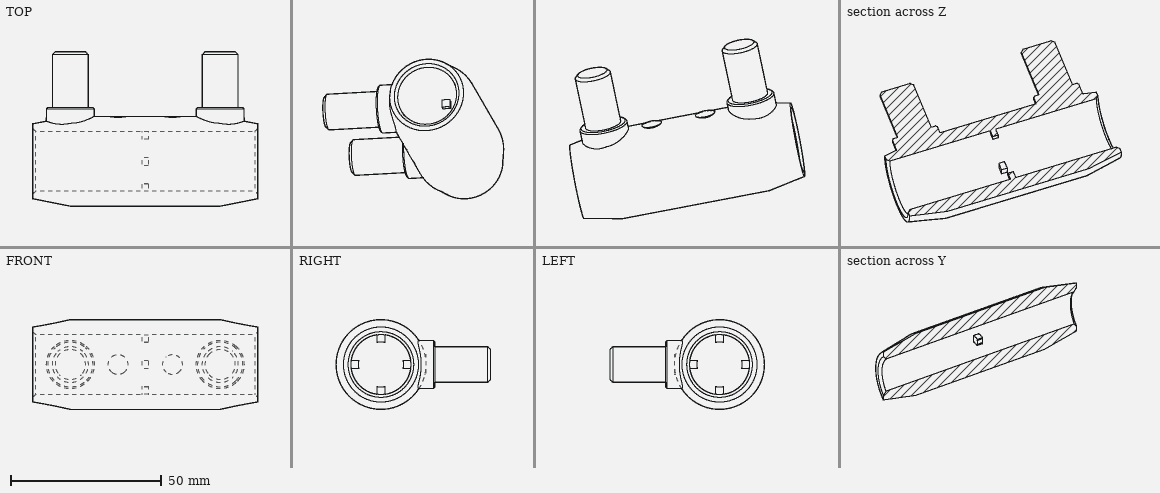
import cadquery as cq

length = 75.0
outer_radius = 15.0
end_radius = 12.5
bore_radius = 10.0
taper_length = 12.5
bore_chamfer = 1.0

stud_radius = 6.0
stud_tip = 36.5
stud_chamfer = 1.0
collar_radius = 8.0
collar_top = 18.0
collar_chamfer = 0.5

pad_radius = 3.3
pad_offset = 9.1

lug_count = 4
lug_width = 2.7
lug_thickness = 2.0
lug_inner_radius = 7.5

half_length = length / 2
taper_start = half_length - taper_length
stud_offset = taper_start
wall_middle = (bore_radius + outer_radius) / 2


def make_body():
    """Solid barrel with a conical taper at each end."""
    return (
        cq.Workplane("XY")
        .moveTo(-half_length, 0)
        .lineTo(-half_length, end_radius)
        .lineTo(-taper_start, outer_radius)
        .lineTo(taper_start, outer_radius)
        .lineTo(half_length, end_radius)
        .lineTo(half_length, 0)
        .close()
        .revolve(360, (0, 0, 0), (1, 0, 0))
    )


def make_bore():
    """Through bore, widened by a chamfer at both mouths."""
    mouth_radius = bore_radius + bore_chamfer
    chamfer_start = half_length - bore_chamfer
    return (
        cq.Workplane("XY")
        .moveTo(-half_length, 0)
        .lineTo(-half_length, mouth_radius)
        .lineTo(-chamfer_start, bore_radius)
        .lineTo(chamfer_start, bore_radius)
        .lineTo(half_length, mouth_radius)
        .lineTo(half_length, 0)
        .close()
        .revolve(360, (0, 0, 0), (1, 0, 0))
    )


def y_cylinder(x, radius, y_end):
    """Cylinder along +Y, from the tube axis to y_end."""
    axis = cq.Vector(0, 1, 0)
    return cq.Workplane(cq.Solid.makeCylinder(radius, y_end, cq.Vector(x, 0, 0), axis))


def make_stud(x):
    """Chamfered pin standing on a wider chamfered collar."""
    pin = y_cylinder(x, stud_radius, stud_tip).faces(">Y").chamfer(stud_chamfer)
    collar = y_cylinder(x, collar_radius, collar_top).faces(">Y").chamfer(collar_chamfer)
    return collar.union(pin)


def make_lugs():
    """Lugs reaching from the tube wall into the bore, with rounded inner faces."""
    lugs = cq.Workplane("XY")
    for index in range(lug_count):
        bar = cq.Workplane("XY").box(
            lug_thickness, wall_middle, lug_width, centered=(True, False, True)
        )
        lugs = lugs.add(bar.rotate((0, 0, 0), (1, 0, 0), index * 360 / lug_count))
    core = cq.Workplane("YZ").circle(lug_inner_radius).extrude(lug_thickness, both=True)
    return lugs.combine().cut(core)


result = make_body()
for side in (-1, 1):
    result = result.union(make_stud(side * stud_offset))
    result = result.union(y_cylinder(side * pad_offset, pad_radius, outer_radius))
result = result.cut(make_bore())
result = result.union(make_lugs())